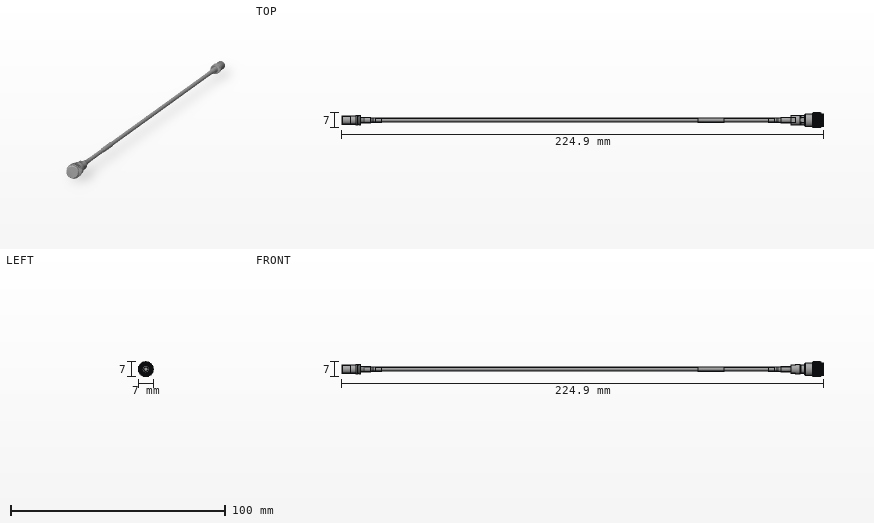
import cadquery as cq
import math

TOTAL_LENGTH = 224.88

CABLE_DIAMETER = 1.8
FERRULE_LENGTH = 4.0
FERRULE_TAIL_LENGTH = 2.85
FERRULE_TAIL_DIAMETER = 1.96
FERRULE_DIAMETER = 2.04
STEM_DIAMETER = 2.5
LIP_DIAMETER = 2.2
LIP_TAPER_LENGTH = 0.7

PLUG_DIAMETER = 4.0
PLUG_LENGTH = 6.4
PLUG_BORE_DIAMETER = 3.4
PLUG_BORE_DEPTH = 4.0
PLUG_CORE_DIAMETER = 2.0
PLUG_CORE_RECESS = 1.0
RING_DIAMETER = 4.6
RING_END = 8.7
RING_GROOVE_DIAMETER = 4.2
RING_GROOVE_WIDTH = 0.7
COLLAR_DIAMETER = 2.6
COLLAR_END = 10.5
COLLAR_TAPER_LENGTH = 0.55
PLUG_STEM_END = 13.2
PLUG_LIP_END = 14.5

LABEL_DIAMETER = 2.2
LABEL_START = 166.2
LABEL_LENGTH = 12.2

CONNECTOR_START = 203.05
CONNECTOR_LIP_END = 204.9
SHANK_START = 209.6
SHANK_END = 216.0
SHANK_DIAMETER = 4.6
SHANK_FLAT_SPACING = 4.0
BAND_START = 211.7
BAND_END = 213.8
SHANK_GROOVE_DIAMETER = 4.4
SHANK_GROOVE_WIDTH = 0.6
BODY_DIAMETER = 6.0
BODY_CHAMFER = 0.5
END_CHAMFER = 0.3
KNURL_DIAMETER = 7.0
KNURL_START = 219.65
KNURL_END = 223.8
KNURL_CHAMFER = (KNURL_DIAMETER - BODY_DIAMETER) / 2
KNURL_GROOVE_COUNT = 36
KNURL_GROOVE_DEPTH = 0.6
KNURL_GROOVE_FRACTION = 0.8


def rod(diameter, start, end):
    """A round bar along X between two stations."""
    return cq.Workplane("YZ").workplane(offset=start).circle(diameter / 2).extrude(end - start)


def turned(stations):
    """A solid of revolution about X through (x, diameter) stations."""
    radii = [(x, diameter / 2) for x, diameter in stations]
    outline = [(stations[0][0], 0), *radii, (stations[-1][0], 0)]
    return cq.Workplane("XY").polyline(outline).close().revolve(360, (0, 0, 0), (1, 0, 0))


def make_cable():
    return rod(CABLE_DIAMETER, PLUG_LIP_END, CONNECTOR_START)


def make_label():
    label_end = LABEL_START + LABEL_LENGTH
    sleeve = rod(LABEL_DIAMETER, LABEL_START, label_end)
    return sleeve.cut(rod(CABLE_DIAMETER, LABEL_START, label_end))


def make_ferrule(connector_face, direction):
    """A sleeve on the cable end; direction (+1 or -1 in X) points away from the connector."""
    tail_end = connector_face + direction * FERRULE_LENGTH
    tail_start = tail_end - direction * FERRULE_TAIL_LENGTH
    sleeve = turned(
        [
            (connector_face, FERRULE_DIAMETER),
            (tail_start, FERRULE_DIAMETER),
            (tail_start, FERRULE_TAIL_DIAMETER),
            (tail_end, FERRULE_TAIL_DIAMETER),
        ]
    )
    bore_start, bore_end = sorted([connector_face, tail_end])
    return sleeve.cut(rod(CABLE_DIAMETER, bore_start, bore_end))


def make_plug():
    ring_middle = (PLUG_LENGTH + RING_END) / 2
    groove_start = ring_middle - RING_GROOVE_WIDTH / 2
    groove_end = ring_middle + RING_GROOVE_WIDTH / 2
    plug = turned(
        [
            (0, PLUG_DIAMETER),
            (PLUG_LENGTH, PLUG_DIAMETER),
            (PLUG_LENGTH, RING_DIAMETER),
            (groove_start, RING_DIAMETER),
            (groove_start, RING_GROOVE_DIAMETER),
            (groove_end, RING_GROOVE_DIAMETER),
            (groove_end, RING_DIAMETER),
            (RING_END, RING_DIAMETER),
            (RING_END, STEM_DIAMETER),
            (RING_END + COLLAR_TAPER_LENGTH, COLLAR_DIAMETER),
            (COLLAR_END - COLLAR_TAPER_LENGTH, COLLAR_DIAMETER),
            (COLLAR_END, STEM_DIAMETER),
            (PLUG_STEM_END, STEM_DIAMETER),
            (PLUG_STEM_END, LIP_DIAMETER),
            (PLUG_LIP_END - LIP_TAPER_LENGTH, LIP_DIAMETER),
            (PLUG_LIP_END, FERRULE_DIAMETER),
        ]
    )
    bore = rod(PLUG_BORE_DIAMETER, 0, PLUG_BORE_DEPTH)
    core = rod(PLUG_CORE_DIAMETER, PLUG_CORE_RECESS, PLUG_BORE_DEPTH)
    return plug.cut(bore.cut(core))


def cut_shank_flats(connector):
    """Mill the two flats facing +Z and -Z, leaving the round band between them."""
    flat_depth = (SHANK_DIAMETER - SHANK_FLAT_SPACING) / 2
    middle_height = (SHANK_FLAT_SPACING + flat_depth) / 2
    for start, end in [(SHANK_START, BAND_START), (BAND_END, SHANK_END)]:
        for side in (1, -1):
            middle = ((start + end) / 2, 0, side * middle_height)
            cutter = cq.Workplane("XY").box(end - start, SHANK_DIAMETER, flat_depth).translate(middle)
            connector = connector.cut(cutter)
    return connector


def cut_knurl(connector):
    """Cut V-grooves along the grip, evenly spaced round the axis, out through the end face."""
    crest = KNURL_DIAMETER / 2
    half_width = math.pi * crest / KNURL_GROOVE_COUNT * KNURL_GROOVE_FRACTION
    groove = (
        cq.Workplane("YZ")
        .workplane(offset=KNURL_START)
        .polyline([(crest - KNURL_GROOVE_DEPTH, 0), (crest, half_width), (crest, -half_width)])
        .close()
        .extrude(TOTAL_LENGTH - KNURL_START)
    )
    for index in range(KNURL_GROOVE_COUNT):
        angle = (index + 0.5) * 360 / KNURL_GROOVE_COUNT
        connector = connector.cut(groove.rotate((0, 0, 0), (1, 0, 0), angle))
    return connector


def make_connector():
    connector = turned(
        [
            (CONNECTOR_START, FERRULE_DIAMETER),
            (CONNECTOR_START + LIP_TAPER_LENGTH, LIP_DIAMETER),
            (CONNECTOR_LIP_END, LIP_DIAMETER),
            (CONNECTOR_LIP_END, STEM_DIAMETER),
            (SHANK_START, STEM_DIAMETER),
            (SHANK_START, SHANK_DIAMETER),
            (BAND_END, SHANK_DIAMETER),
            (BAND_END, SHANK_GROOVE_DIAMETER),
            (BAND_END + SHANK_GROOVE_WIDTH, SHANK_GROOVE_DIAMETER),
            (BAND_END + SHANK_GROOVE_WIDTH, SHANK_DIAMETER),
            (SHANK_END, SHANK_DIAMETER),
            (SHANK_END, BODY_DIAMETER - 2 * BODY_CHAMFER),
            (SHANK_END + BODY_CHAMFER, BODY_DIAMETER),
            (KNURL_START, BODY_DIAMETER),
            (KNURL_START + KNURL_CHAMFER, KNURL_DIAMETER),
            (KNURL_END - KNURL_CHAMFER, KNURL_DIAMETER),
            (KNURL_END, BODY_DIAMETER),
            (TOTAL_LENGTH - END_CHAMFER, BODY_DIAMETER),
            (TOTAL_LENGTH, BODY_DIAMETER - 2 * END_CHAMFER),
        ]
    )
    return cut_knurl(cut_shank_flats(connector))


cable = make_cable()
label = make_label()
plug_ferrule = make_ferrule(PLUG_LIP_END, 1)
connector_ferrule = make_ferrule(CONNECTOR_START, -1)
plug = make_plug()
connector = make_connector()

result = cq.Compound.makeCompound(
    [
        cable.val(),
        label.val(),
        plug_ferrule.val(),
        connector_ferrule.val(),
        plug.val(),
        connector.val(),
    ]
)